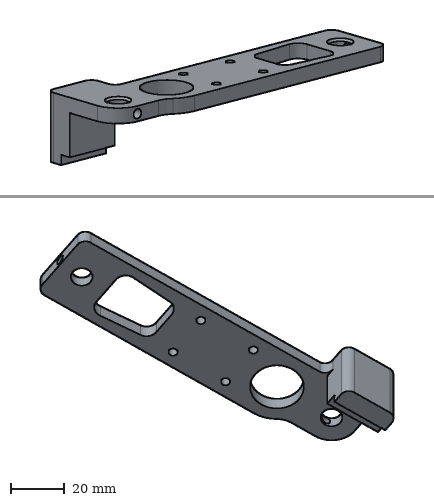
import cadquery as cq
import math

length = 134.6
height = 27.3
plate_thickness = 6.0
arm_left = 12.5
arm_width = 30.0
arm_right = arm_left + arm_width
arm_center = arm_left + arm_width / 2
neck_right = 38.1
tab_depth = 23.2
corner_radius = 3.5
neck_blend_radius = 10.0

post_width = arm_left
foot_width = 7.8
foot_height = 4.0

bore_diameter = 8.1
countersink_diameter = 10.0
lower_bore_y = 10.6
upper_bore_y = length - 10.0
screw_diameter = 3.8
large_hole_diameter = 20.0
large_hole_y = 35.5
small_hole_diameter = 3.4
small_hole_spacing_x = 18.0
small_hole_spacing_y = 24.0
small_hole_center_y = 64.6

window_bottom = 87.1
window_top = 113.5
window_bottom_width = 18.3
window_top_width = 22.4
window_radius = 4.5

plate_bottom = height - plate_thickness
plate_middle = height - plate_thickness / 2


def make_plate():
    """Arm with a side tab; its right edge wraps the large hole and blends into a narrower neck."""
    wrap_radius = arm_right - arm_center
    end_radius = neck_right - arm_center
    center_distance = wrap_radius + neck_blend_radius
    blend_x = neck_right + neck_blend_radius
    blend_angle = math.acos((blend_x - arm_center) / center_distance)
    blend_y = large_hole_y - center_distance * math.sin(blend_angle)

    def on_wrap(angle):
        return (arm_center + wrap_radius * math.cos(angle), large_hole_y - wrap_radius * math.sin(angle))

    def on_blend(angle):
        return (blend_x - neck_blend_radius * math.cos(angle), blend_y + neck_blend_radius * math.sin(angle))

    plate = (
        cq.Workplane("XY", origin=(0, 0, plate_bottom))
        .lineTo(arm_center, 0)
        .radiusArc((neck_right, end_radius), -end_radius)
        .lineTo(neck_right, blend_y)
        .threePointArc(on_blend(blend_angle / 2), on_blend(blend_angle))
        .threePointArc(on_wrap(blend_angle / 2), on_wrap(0))
        .lineTo(arm_right, length)
        .lineTo(arm_left, length)
        .lineTo(arm_left, tab_depth)
        .lineTo(0, tab_depth)
        .close()
        .extrude(plate_thickness)
    )
    corners = [
        (0, 0),
        (0, tab_depth),
        (arm_left, tab_depth),
        (arm_left, length),
        (arm_right, length),
    ]
    for x, y in corners:
        corner_edge = cq.selectors.NearestToPointSelector((x, y, plate_middle))
        plate = plate.edges(corner_edge).fillet(corner_radius)
    return plate


def make_post():
    """Stepped post with rounded outer corners, reaching up to the top of the plate."""
    return (
        cq.Workplane("XZ")
        .lineTo(foot_width, 0)
        .lineTo(foot_width, foot_height)
        .lineTo(post_width, foot_height)
        .lineTo(post_width, height)
        .lineTo(0, height)
        .close()
        .extrude(-tab_depth)
        .edges("|Z and <X")
        .fillet(corner_radius)
    )


def make_window():
    """Window cutter, wider toward the far end of the arm."""
    return (
        cq.Workplane("XY", origin=(arm_center, 0, plate_bottom))
        .moveTo(-window_bottom_width / 2, window_bottom)
        .lineTo(window_bottom_width / 2, window_bottom)
        .lineTo(window_top_width / 2, window_top)
        .lineTo(-window_top_width / 2, window_top)
        .close()
        .extrude(plate_thickness)
        .edges("|Z")
        .fillet(window_radius)
    )


def drill(body, points, diameter):
    """Drill round holes through the plate at points measured from the arm's center line."""
    return body.cut(
        cq.Workplane("XY", origin=(arm_center, 0, plate_bottom))
        .pushPoints(points)
        .circle(diameter / 2)
        .extrude(plate_thickness)
    )


def screw_hole(bore_y, direction, reach):
    """Horizontal screw hole cutter running from a bore's axis out through the edge of the plate."""
    start = cq.Vector(arm_center, bore_y, plate_middle)
    return cq.Workplane(cq.Solid.makeCylinder(screw_diameter / 2, reach, start, cq.Vector(*direction)))


result = make_plate().union(make_post()).cut(make_window())

bore_points = [(0, lower_bore_y), (0, upper_bore_y)]
countersink_depth = (countersink_diameter - bore_diameter) / 2
result = drill(result, bore_points, bore_diameter)
for offset_x, bore_y in bore_points:
    countersink = cq.Solid.makeCone(
        bore_diameter / 2,
        countersink_diameter / 2,
        countersink_depth,
        cq.Vector(arm_center + offset_x, bore_y, height - countersink_depth),
    )
    result = result.cut(cq.Workplane(countersink))

result = result.cut(screw_hole(lower_bore_y, (1, 0, 0), neck_right - arm_center))
result = result.cut(screw_hole(upper_bore_y, (0, 1, 0), length - upper_bore_y))

small_hole_points = [
    (side * small_hole_spacing_x / 2, small_hole_center_y + end * small_hole_spacing_y / 2)
    for side in (-1, 1)
    for end in (-1, 1)
]
result = drill(result, [(0, large_hole_y)], large_hole_diameter)
result = drill(result, small_hole_points, small_hole_diameter)